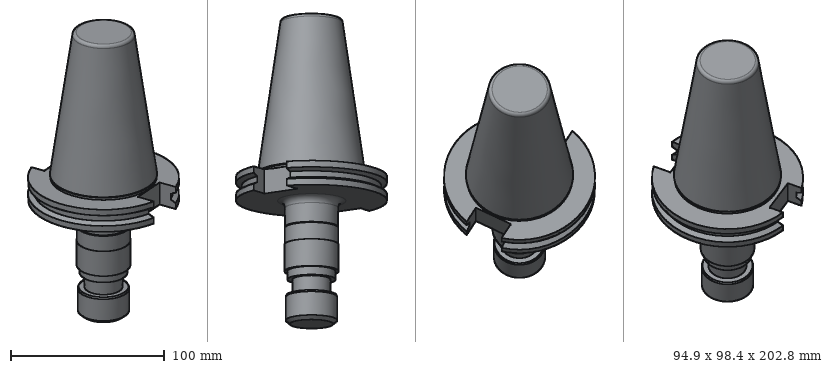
import cadquery as cq


NUT_EDGE_TOP = 18.0
NUT_TOP = 19.3
NECK_TOP = 29.6
COLLAR_TOP = 35.0
LOWER_BODY_TOP = 53.0
BODY_TOP = 64.5
FLANGE_BOTTOM = 82.1
FLANGE_TOP = 98.2
TAPER_BOTTOM = 100.4
TOTAL_HEIGHT = 202.8

NUT_DIAMETER = 33.7
NUT_TOP_DIAMETER = 32.5
NUT_FACE_DIAMETER = 28.0
NUT_CHAMFER_HEIGHT = 2.5
NECK_DIAMETER = 25.0
COLLAR_DIAMETER = 31.5
LOWER_BODY_DIAMETER = 35.3
BODY_DIAMETER = 35.0
SHANK_DIAMETER = 34.7
SHANK_FILLET = 4.9
BODY_BEVEL_HEIGHT = 0.6

FLANGE_DIAMETER = 98.4
GROOVE_DIAMETER = 90.9
GROOVE_FLOOR_WIDTH = 3.9
GROOVE_MOUTH_WIDTH = 7.5
SLOT_WIDTH = 26.0
SLOT_FLOOR_LEFT = 37.5
SLOT_FLOOR_RIGHT = 35.0

RELIEF_DIAMETER = 69.4
RELIEF_BEVEL_HEIGHT = 0.6
TAPER_DIAMETER = 70.0
TAPER_RATIO = 7 / 24
TAPER_TOP_FILLET = 2.5


def disc(diameter, bottom, top):
    """Cylinder on the Z axis between two heights."""
    return cq.Workplane("XY").workplane(offset=bottom).circle(diameter / 2).extrude(top - bottom)


def revolve_profile(profile):
    """Turn a closed radius-height profile about the Z axis."""
    return profile.close().revolve(360, (0, 0, 0), (0, 1, 0))


def make_nut():
    profile = cq.Workplane("XZ").polyline([
        (0, 0),
        (NUT_FACE_DIAMETER / 2, 0),
        (NUT_DIAMETER / 2, NUT_CHAMFER_HEIGHT),
        (NUT_DIAMETER / 2, NUT_EDGE_TOP),
        (NUT_TOP_DIAMETER / 2, NUT_TOP),
        (0, NUT_TOP),
    ])
    return revolve_profile(profile)


def make_shank():
    bevel_bottom = BODY_TOP - BODY_BEVEL_HEIGHT
    neck = disc(NECK_DIAMETER, NUT_TOP, NECK_TOP)
    collar = disc(COLLAR_DIAMETER, NECK_TOP, COLLAR_TOP)
    lower_body = disc(LOWER_BODY_DIAMETER, COLLAR_TOP, LOWER_BODY_TOP)
    body = disc(BODY_DIAMETER, LOWER_BODY_TOP, bevel_bottom)

    radius = SHANK_DIAMETER / 2
    upper = revolve_profile(
        cq.Workplane("XZ")
        .moveTo(0, bevel_bottom)
        .lineTo(BODY_DIAMETER / 2, bevel_bottom)
        .lineTo(radius, BODY_TOP)
        .lineTo(radius, FLANGE_BOTTOM - SHANK_FILLET)
        .radiusArc((radius + SHANK_FILLET, FLANGE_BOTTOM), SHANK_FILLET)
        .lineTo(0, FLANGE_BOTTOM)
    )
    return neck.union(collar).union(lower_body).union(body).union(upper)


def make_flange():
    outer = FLANGE_DIAMETER / 2
    groove = GROOVE_DIAMETER / 2
    middle = (FLANGE_BOTTOM + FLANGE_TOP) / 2
    flange = revolve_profile(cq.Workplane("XZ").polyline([
        (0, FLANGE_BOTTOM),
        (outer, FLANGE_BOTTOM),
        (outer, middle - GROOVE_MOUTH_WIDTH / 2),
        (groove, middle - GROOVE_FLOOR_WIDTH / 2),
        (groove, middle + GROOVE_FLOOR_WIDTH / 2),
        (outer, middle + GROOVE_MOUTH_WIDTH / 2),
        (outer, FLANGE_TOP),
        (0, FLANGE_TOP),
    ]))
    for side, floor in ((-1, SLOT_FLOOR_LEFT), (1, SLOT_FLOOR_RIGHT)):
        slot = (
            cq.Workplane("XY")
            .workplane(offset=FLANGE_BOTTOM)
            .center(side * (floor + outer / 2), 0)
            .rect(outer, SLOT_WIDTH)
            .extrude(FLANGE_TOP - FLANGE_BOTTOM)
        )
        flange = flange.cut(slot)
    return flange


def make_taper():
    bevel_bottom = TAPER_BOTTOM - RELIEF_BEVEL_HEIGHT
    relief = disc(RELIEF_DIAMETER, FLANGE_TOP, bevel_bottom)
    top_diameter = TAPER_DIAMETER - TAPER_RATIO * (TOTAL_HEIGHT - TAPER_BOTTOM)
    cone = revolve_profile(cq.Workplane("XZ").polyline([
        (0, bevel_bottom),
        (RELIEF_DIAMETER / 2, bevel_bottom),
        (TAPER_DIAMETER / 2, TAPER_BOTTOM),
        (top_diameter / 2, TOTAL_HEIGHT),
        (0, TOTAL_HEIGHT),
    ]))
    cone = cone.faces(">Z").edges().fillet(TAPER_TOP_FILLET)
    return relief.union(cone)


result = make_nut().union(make_shank()).union(make_flange()).union(make_taper())